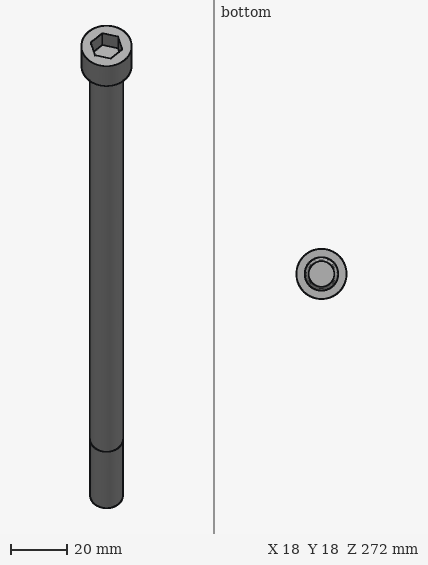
import cadquery as cq
import math

total_length = 272.0
head_diameter = 18.0
shank_diameter = 12.0
head_height = shank_diameter
thread_length = 36.0
thread_relief = 0.05
tip_chamfer_radial = 1.4
tip_chamfer_height = 2.0
hex_across_flats = 10.0
hex_depth = 7.0

top_z = total_length / 2
tip_z = -top_z
thread_top_z = tip_z + thread_length
head_bottom_z = top_z - head_height


def make_body():
    """Head, plain shank and threaded end with a chamfered tip, revolved from one half profile."""
    head_radius = head_diameter / 2
    shank_radius = shank_diameter / 2
    thread_radius = shank_radius - thread_relief
    profile = (
        cq.Workplane("XZ")
        .moveTo(0, tip_z)
        .lineTo(thread_radius - tip_chamfer_radial, tip_z)
        .lineTo(thread_radius, tip_z + tip_chamfer_height)
        .lineTo(thread_radius, thread_top_z)
        .lineTo(shank_radius, thread_top_z)
        .lineTo(shank_radius, head_bottom_z)
        .lineTo(head_radius, head_bottom_z)
        .lineTo(head_radius, top_z)
        .lineTo(0, top_z)
        .close()
    )
    return profile.revolve(360, (0, 0, 0), (0, 1, 0))


def make_hex_socket():
    """Hexagonal recess, with two corners on the X axis."""
    across_corners = hex_across_flats / math.cos(math.pi / 6)
    return (
        cq.Workplane("XY", origin=(0, 0, top_z))
        .polygon(6, across_corners)
        .extrude(-hex_depth)
    )


result = make_body().cut(make_hex_socket())